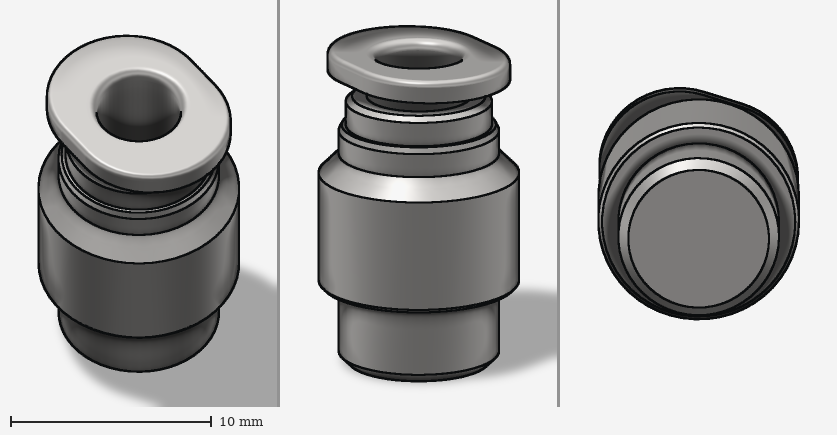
import cadquery as cq
import math

total_height = 16.0
body_diameter = 10.0

plug_diameter = 8.0
plug_height = 4.0
plug_chamfer = 0.5
body_chamfer = 0.2
cone_bottom = 9.8
cone_top = 10.8

ring_diameter = plug_diameter
ring_top = 12.3
ring_chamfer_height = 0.3
ring_chamfer_width = 0.16
collar_diameter = 7.3
collar_top = 13.8
collar_chamfer_height = 0.27
collar_chamfer_width = 0.32

neck_diameter = 5.2
neck_fillet = 0.1
flange_length = body_diameter
flange_width = plug_diameter
flange_thickness = 1.09
flange_fillet = 0.3

bore_diameter = 4.2
bore_depth = 12.0
bore_fillet = 0.5


def make_body():
    """Revolve the stepped outer profile, from the bottom face to the flange underside."""
    plug_radius = plug_diameter / 2
    body_radius = body_diameter / 2
    ring_radius = ring_diameter / 2
    collar_radius = collar_diameter / 2
    neck_radius = neck_diameter / 2
    flange_bottom = total_height - flange_thickness
    profile = [
        (0, 0),
        (plug_radius - plug_chamfer, 0),
        (plug_radius, plug_chamfer),
        (plug_radius, plug_height),
        (body_radius - body_chamfer, plug_height),
        (body_radius, plug_height + body_chamfer),
        (body_radius, cone_bottom),
        (ring_radius, cone_top),
        (ring_radius, ring_top - ring_chamfer_height),
        (ring_radius - ring_chamfer_width, ring_top),
        (collar_radius, ring_top),
        (collar_radius, collar_top - collar_chamfer_height),
        (collar_radius - collar_chamfer_width, collar_top),
        (neck_radius, collar_top),
        (neck_radius, flange_bottom - neck_fillet),
    ]
    arc_inset = neck_fillet * (1 - math.sqrt(0.5))
    fillet_middle = (neck_radius + arc_inset, flange_bottom - arc_inset)
    fillet_end = (neck_radius + neck_fillet, flange_bottom)
    return (
        cq.Workplane("XZ")
        .polyline(profile)
        .threePointArc(fillet_middle, fillet_end)
        .lineTo(0, flange_bottom)
        .close()
        .revolve(360, (0, 0), (0, 1))
    )


def make_flange():
    """Oblong flange with a rounded upper rim."""
    return (
        cq.Workplane("XY", origin=(0, 0, total_height - flange_thickness))
        .slot2D(flange_length, flange_width)
        .extrude(flange_thickness)
        .faces(">Z")
        .edges()
        .fillet(flange_fillet)
    )


def cut_bore(part):
    """Blind bore from the top face with a rounded mouth."""
    drilled = part.faces(">Z").workplane(origin=(0, 0, total_height)).hole(bore_diameter, bore_depth)
    mouth = drilled.faces(">Z").edges(cq.selectors.RadiusNthSelector(0))
    return mouth.fillet(bore_fillet)


result = cut_bore(make_body().union(make_flange()))